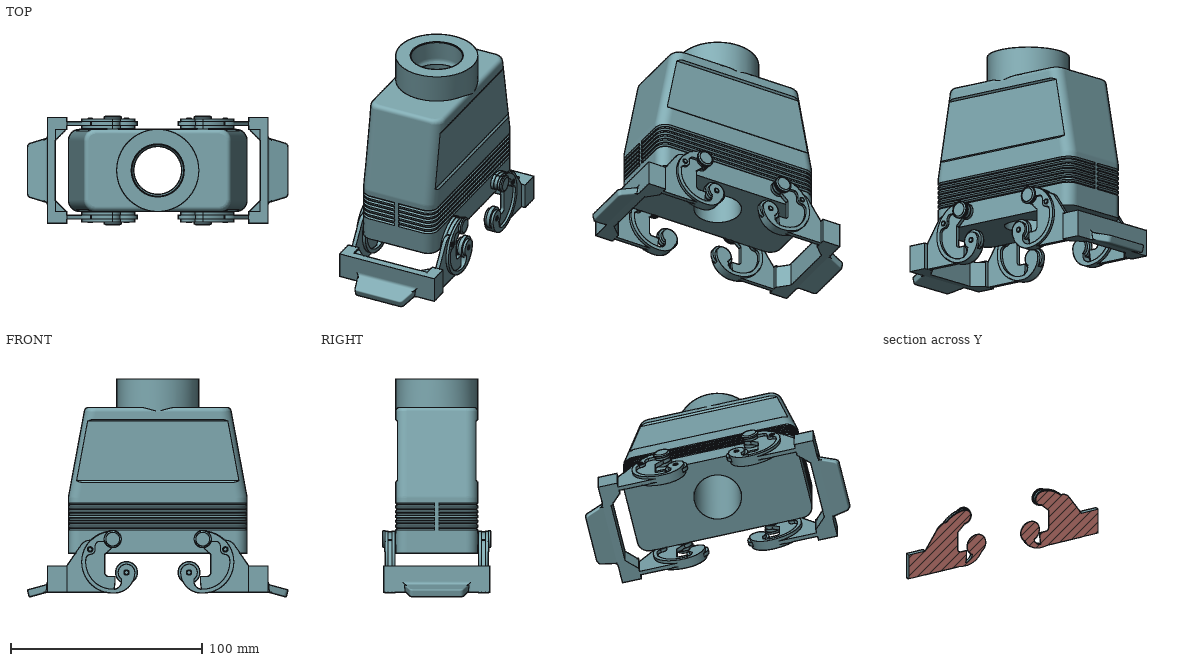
import cadquery as cq
import math


HOOD_LENGTH = 93.6
HOOD_WIDTH = 43.1
HOOD_TOP = 76.4
CORNER_RADIUS = 6.0
TOP_EDGE_RADIUS = 2.5
BASE_TOP = 29.3
TAPER_ANGLE = 10.5
TAPER_BLEND_RADIUS = 5.0

PANEL_DEPTH = 1.0
PANEL_BOTTOM = 37.1
PANEL_TOP = 70.1

GROOVE_COUNT = 6
GROOVE_PITCH = 2.5
GROOVE_WIDTH = 1.6
GROOVE_DEPTH = 0.8
GROOVE_FIRST = 13.0
GROOVE_GAP = 2.45

COLLAR_TOP = 91.25
COLLAR_RADIUS = 21.5
BORE_RADIUS = 13.5
BORE_CHAMFER = 0.4
BORE_DEPTH = 10.2
SEAT_BLEND_DEPTH = 11.7
SEAT_BLEND_RADIUS = 13.2
SEAT_DEPTH = 13.0
PASSAGE_RADIUS = 12.45

HOOK_X = -23.55
HOOK_Z = -4.6
HOOK_RADIUS = 16.25
HOOK_INNER_RADIUS = 14.15
PIVOT_RISE = 12.0
PIVOT_RADIUS = 4.5
PIVOT_END_RADIUS = 4.1
PIVOT_PIN_RADIUS = 3.0
PIVOT_PIN_ROOT = 1.0
PIVOT_FACE_RADIUS = 3.6
PIVOT_CHAMFER_HEIGHT = 0.5
PIVOT_NECK_DROP = 1.15
PIVOT_OUTER_Y = 28.5
ROLLER_DX = 7.2
ROLLER_DZ = -5.45
ROLLER_RADIUS = 5.75
ROLLER_BOSS_RADIUS = 4.35
RIVET_DX = -11.8
RIVET_DZ = 6.65
RIVET_BOSS_RADIUS = 2.6
RIVET_RADIUS = 1.4
RIVET_CHAMFER = 0.4
RIVET_OUTER_Y = 27.3
RIM_GROOVE_DEPTH = 0.3
RIM_GROOVE_REACH = 2.0
RIM_GROOVE_DX = -11.2
CHEEK_INNER_Y = 21.75
CHEEK_OUTER_Y = 27.0
PLATE_INNER_Y = 23.45
PLATE_OUTER_Y = 25.55

THROAT_DX = -4.1
THROAT_TOP_DZ = 4.1
THROAT_RADIUS = 1.8
LIP_DX = 1.3
LIP_TOP_DZ = -7.45
LIP_BOTTOM_DZ = -10.3
LIP_ROOT_DX = 0.8

SHOULDER_CURVE = [(-16.95, 8.4), (-15.0, 10.5), (-11.5, 11.45)]
TAIL_CURVE_MIDDLE = (8.9, -12.5)
CROOK_CURVE = [(4.5, -9.2), (3.9, -12.3)]
RIVET_HOLLOW_CURVE = [(-13.6, 2.9), (-12.3, 3.9)]
NECK_HOLLOW_CURVE = [(-9.2, 7.65), (-8.8, 9.7), (-7.5, PIVOT_RISE - PIVOT_NECK_DROP)]
INNER_EDGE_END = 176

BAR_OUTER_X = -57.75
BAR_INNER_X = -47.6
BAR_WALL = 4.2
BAR_WIDTH = 55.5
BAR_OPENING = 43.0
BAR_TOP = -6.55
BAR_BOTTOM = -20.4
GUSSET_LEG = 5.8
GUSSET_DROP = 0.8

TAB_LENGTH = 9.85
TAB_THICKNESS = 4.0
TAB_OVERLAP = 3.0
TAB_TILT = 15.3
TAB_BASE_WIDTH = 33.4
TAB_TIP_WIDTH = 27.6
TAB_CORNER_RADIUS = 2.0
TAB_EDGE_RADIUS = 0.7
TAB_SPREAD = (TAB_BASE_WIDTH - TAB_TIP_WIDTH) / 2 / TAB_LENGTH
TAB_ROOT_RADIUS = 1.8


def slab_y(sketch, y_min, y_max):
    """Extrude an XZ-plane outline between two Y values."""
    return sketch.extrude(y_max - y_min).translate((0, y_max, 0))


def cylinder_y(x, z, radius, y_min, y_max):
    return slab_y(cq.Workplane("XZ").center(x, z).circle(radius), y_min, y_max)


def hood_shell():
    half_bottom = HOOD_LENGTH / 2
    half_top = half_bottom - (HOOD_TOP - BASE_TOP) * math.tan(math.radians(TAPER_ANGLE))
    outline = cq.Workplane("XZ").polyline([
        (-half_bottom, 0),
        (half_bottom, 0),
        (half_bottom, BASE_TOP),
        (half_top, HOOD_TOP),
        (-half_top, HOOD_TOP),
        (-half_bottom, BASE_TOP),
    ]).close()
    body = slab_y(outline, -HOOD_WIDTH / 2, HOOD_WIDTH / 2)
    bends = cq.selectors.BoxSelector(
        (-HOOD_LENGTH, -HOOD_WIDTH, BASE_TOP - 1), (HOOD_LENGTH, HOOD_WIDTH, BASE_TOP + 1)
    )
    body = body.edges("|Y").edges(bends).fillet(TAPER_BLEND_RADIUS)
    body = body.faces("<Y or >Y").edges("not(<Z or >Z)").fillet(CORNER_RADIUS)
    return body.faces(">Z").edges().fillet(TOP_EDGE_RADIUS)


def groove_cutter(z):
    """V groove around the lower body, interrupted at the middle of the end walls."""
    half = GROOVE_WIDTH / 2
    flank = math.degrees(math.atan2(GROOVE_DEPTH, half))
    section = cq.Sketch().rect(HOOD_LENGTH, HOOD_WIDTH).vertices().fillet(CORNER_RADIUS)
    narrowing = cq.Workplane("XY").placeSketch(section).extrude(half, taper=flank)
    lower = narrowing.translate((0, 0, -half))
    waist = lower.union(lower.mirror("XY"))
    blank = cq.Workplane("XY").box(2 * HOOD_LENGTH, 2 * HOOD_WIDTH, GROOVE_WIDTH)
    plain_strip = cq.Workplane("XY").box(2 * HOOD_LENGTH, GROOVE_GAP, GROOVE_WIDTH)
    return blank.cut(waist).cut(plain_strip).translate((0, 0, z))


def panel_cutter(side):
    """Recess across a long side with 45 degree top and bottom edges; side is -1 or 1."""
    outer = HOOD_WIDTH / 2
    floor = outer - PANEL_DEPTH
    profile = cq.Workplane("YZ").polyline([
        (side * outer, PANEL_BOTTOM),
        (side * floor, PANEL_BOTTOM + PANEL_DEPTH),
        (side * floor, PANEL_TOP - PANEL_DEPTH),
        (side * outer, PANEL_TOP),
    ]).close()
    return profile.extrude(HOOD_LENGTH / 2, both=True)


def bore_cutter():
    mouth = BORE_RADIUS + BORE_CHAMFER
    profile = (
        cq.Workplane("XZ")
        .moveTo(0, COLLAR_TOP)
        .lineTo(mouth, COLLAR_TOP)
        .lineTo(BORE_RADIUS, COLLAR_TOP - BORE_CHAMFER)
        .lineTo(BORE_RADIUS, COLLAR_TOP - BORE_DEPTH)
        .tangentArcPoint((SEAT_BLEND_RADIUS, COLLAR_TOP - SEAT_BLEND_DEPTH), relative=False)
        .lineTo(PASSAGE_RADIUS, COLLAR_TOP - SEAT_DEPTH)
        .lineTo(PASSAGE_RADIUS, 0)
        .lineTo(0, 0)
        .close()
    )
    return profile.revolve(360, (0, 0, 0), (0, 1, 0))


def hood():
    body = hood_shell()
    for index in range(GROOVE_COUNT):
        body = body.cut(groove_cutter(GROOVE_FIRST + index * GROOVE_PITCH))
    for side in (-1, 1):
        body = body.cut(panel_cutter(side))
    collar_bottom = HOOD_TOP - TOP_EDGE_RADIUS
    collar = cq.Workplane("XY", origin=(0, 0, collar_bottom)).circle(COLLAR_RADIUS)
    body = body.union(collar.extrude(COLLAR_TOP - collar_bottom))
    return body.cut(bore_cutter())


def hook_point(dx, dz):
    """Point given relative to the centre of the hook ring."""
    return (HOOK_X + dx, HOOK_Z + dz)


def ring_point(radius, angle):
    """Point on a circle about the hook ring centre; angle in degrees from +X."""
    turn = math.radians(angle)
    return hook_point(radius * math.cos(turn), radius * math.sin(turn))


def lever_plate():
    throat_x = HOOK_X + THROAT_DX
    lip_x = HOOK_X + LIP_DX
    lip_top = HOOK_Z + LIP_TOP_DZ
    shoulder_start, shoulder_middle, shoulder_end = SHOULDER_CURVE
    outline = (
        cq.Workplane("XZ")
        .moveTo(BAR_INNER_X, BAR_BOTTOM)
        .lineTo(BAR_INNER_X, BAR_TOP)
        .lineTo(*hook_point(*shoulder_start))
        .threePointArc(hook_point(*shoulder_middle), hook_point(*shoulder_end))
        .lineTo(*hook_point(0, PIVOT_RISE))
        .lineTo(*hook_point(0, PIVOT_RISE - PIVOT_END_RADIUS))
        .lineTo(throat_x, HOOK_Z + THROAT_TOP_DZ)
        .lineTo(throat_x, lip_top + THROAT_RADIUS)
        .radiusArc((throat_x + THROAT_RADIUS, lip_top), -THROAT_RADIUS)
        .lineTo(lip_x, lip_top)
        .lineTo(lip_x, HOOK_Z + LIP_BOTTOM_DZ)
        .lineTo(*hook_point(LIP_ROOT_DX, -HOOK_INNER_RADIUS))
        .lineTo(HOOK_X, BAR_BOTTOM)
        .close()
    )
    plate = slab_y(outline, PLATE_INNER_Y, PLATE_OUTER_Y)
    roller_x, roller_z = hook_point(ROLLER_DX, ROLLER_DZ)
    return plate.union(cylinder_y(roller_x, roller_z, ROLLER_RADIUS, PLATE_INNER_Y, PLATE_OUTER_Y))


def hook_cheek():
    """Crescent from the pivot head round to the roller, thicker than the plate."""
    roller_x, roller_z = hook_point(ROLLER_DX, ROLLER_DZ)
    rivet_x, rivet_z = hook_point(RIVET_DX, RIVET_DZ)
    crook_start, crook_middle = CROOK_CURVE
    rivet_hollow_middle, rivet_hollow_end = RIVET_HOLLOW_CURVE
    neck_start, neck_middle, neck_end = NECK_HOLLOW_CURVE
    crescent = (
        cq.Workplane("XZ")
        .moveTo(*ring_point(HOOK_RADIUS, 90))
        .threePointArc(ring_point(HOOK_RADIUS, 180), ring_point(HOOK_RADIUS, 270))
        .threePointArc(hook_point(*TAIL_CURVE_MIDDLE), (roller_x + ROLLER_BOSS_RADIUS, roller_z))
        .lineTo(roller_x, roller_z)
        .lineTo(*hook_point(*crook_start))
        .threePointArc(hook_point(*crook_middle), hook_point(LIP_ROOT_DX, -HOOK_INNER_RADIUS))
        .threePointArc(
            ring_point(HOOK_INNER_RADIUS, 225), ring_point(HOOK_INNER_RADIUS, INNER_EDGE_END)
        )
        .threePointArc(hook_point(*rivet_hollow_middle), hook_point(*rivet_hollow_end))
        .lineTo(rivet_x, rivet_z)
        .lineTo(*hook_point(*neck_start))
        .threePointArc(hook_point(*neck_middle), hook_point(*neck_end))
        .lineTo(*hook_point(0, PIVOT_RISE - PIVOT_NECK_DROP))
        .close()
    )
    cheek = slab_y(crescent, CHEEK_INNER_Y, CHEEK_OUTER_Y)
    cheek = cheek.union(
        cylinder_y(roller_x, roller_z, ROLLER_BOSS_RADIUS, CHEEK_INNER_Y, CHEEK_OUTER_Y)
    )
    return cheek.union(
        cylinder_y(rivet_x, rivet_z, RIVET_BOSS_RADIUS, CHEEK_INNER_Y, CHEEK_OUTER_Y)
    )


def pivot():
    """Headed pivot pin, rooted in the hood wall, with the rounded lever end around it."""
    x, z = hook_point(0, PIVOT_RISE)
    pin = cylinder_y(x, z, PIVOT_PIN_RADIUS, HOOD_WIDTH / 2 - PIVOT_PIN_ROOT, CHEEK_OUTER_Y)
    end = cylinder_y(x, z, PIVOT_END_RADIUS, CHEEK_INNER_Y, CHEEK_OUTER_Y)
    head = cylinder_y(x, z, PIVOT_RADIUS, CHEEK_OUTER_Y, PIVOT_OUTER_Y)
    head = head.faces(">Y").chamfer(PIVOT_CHAMFER_HEIGHT, PIVOT_RADIUS - PIVOT_FACE_RADIUS)
    return pin.union(end).union(head)


def plate_level_band(x, z, inner_radius):
    """Ring of material at plate level just outside a given radius."""
    outer_radius = inner_radius + RIM_GROOVE_REACH
    disc = cylinder_y(x, z, outer_radius, PLATE_INNER_Y, PLATE_OUTER_Y)
    return disc.cut(cylinder_y(x, z, inner_radius, PLATE_INNER_Y, PLATE_OUTER_Y))


def plate_level_window(x_min, x_max, z_min, z_max):
    outline = cq.Workplane("XZ").center((x_min + x_max) / 2, (z_min + z_max) / 2)
    return slab_y(outline.rect(x_max - x_min, z_max - z_min), PLATE_INNER_Y, PLATE_OUTER_Y)


def rim_groove_cutter():
    """Shallow groove at plate level along the ring's top edge and round the pivot end."""
    end_x, end_z = hook_point(0, PIVOT_RISE)
    ring_band = plate_level_band(HOOK_X, HOOK_Z, HOOK_RADIUS - RIM_GROOVE_DEPTH)
    end_band = plate_level_band(end_x, end_z, PIVOT_END_RADIUS - RIM_GROOVE_DEPTH)
    top_window = plate_level_window(
        HOOK_X + RIM_GROOVE_DX, HOOK_X, HOOK_Z, HOOK_Z + 2 * HOOK_RADIUS
    )
    end_window = plate_level_window(
        end_x, end_x + HOOK_RADIUS, end_z - HOOK_RADIUS / 2, end_z + HOOK_RADIUS / 2
    )
    return ring_band.intersect(top_window).union(end_band.intersect(end_window))


def rivet(dx, dz):
    x, z = hook_point(dx, dz)
    pin = cylinder_y(x, z, RIVET_RADIUS, PLATE_INNER_Y, RIVET_OUTER_Y)
    return pin.faces(">Y").chamfer(RIVET_OUTER_Y - CHEEK_OUTER_Y, RIVET_CHAMFER)


def lever_side():
    side = lever_plate().union(hook_cheek()).union(pivot()).cut(rim_groove_cutter())
    side = side.union(rivet(RIVET_DX, RIVET_DZ))
    return side.union(rivet(ROLLER_DX, ROLLER_DZ))


def finger_tab():
    """Tapered tab pointing outwards and tilted down from the crossbar."""
    half_tip = TAB_TIP_WIDTH / 2
    half_root = half_tip + TAB_SPREAD * (TAB_LENGTH + TAB_OVERLAP)
    tab = cq.Workplane("XY").polyline([
        (-TAB_LENGTH, -half_tip),
        (TAB_OVERLAP, -half_root),
        (TAB_OVERLAP, half_root),
        (-TAB_LENGTH, half_tip),
    ]).close().extrude(TAB_THICKNESS)
    tab = tab.edges("|Z and <X").fillet(TAB_CORNER_RADIUS)
    tab = tab.faces("<Z or >Z").edges("not >X").fillet(TAB_EDGE_RADIUS)
    tab = tab.rotate((0, 0, 0), (0, 1, 0), -TAB_TILT)
    return tab.translate((BAR_OUTER_X, 0, BAR_BOTTOM))


def tab_root_blend():
    """Concave blend over the top and ends of the tab where it meets the crossbar."""
    radius = TAB_ROOT_RADIUS
    tilt = math.radians(TAB_TILT)
    height = TAB_THICKNESS / math.cos(tilt) - radius * math.tan(tilt) + radius
    half_width = TAB_BASE_WIDTH / 2 - radius * TAB_SPREAD + radius
    edge_x = BAR_OUTER_X - radius
    edge_z = BAR_BOTTOM + height
    block = cq.Workplane("XY", origin=(BAR_OUTER_X - radius / 2, 0, BAR_BOTTOM))
    block = block.rect(radius, 2 * half_width).extrude(height)
    block = block.cut(cylinder_y(edge_x, edge_z, radius, -half_width, half_width))
    for side in (-1, 1):
        end_cut = cq.Workplane("XY", origin=(edge_x, side * half_width, BAR_BOTTOM))
        block = block.cut(end_cut.circle(radius).extrude(height))
    return block


def crossbar():
    height = BAR_TOP - BAR_BOTTOM
    depth = BAR_INNER_X - BAR_OUTER_X
    half_opening = BAR_OPENING / 2
    wall_x = BAR_OUTER_X + BAR_WALL
    base = cq.Workplane("XY", origin=(0, 0, BAR_BOTTOM))
    bar = base.center(BAR_OUTER_X + depth / 2, 0).rect(depth, BAR_WIDTH).extrude(height)
    bar = bar.cut(
        base.center(wall_x + depth / 2, 0).rect(depth, 2 * half_opening).extrude(height)
    )
    for side in (-1, 1):
        corner_y = side * half_opening
        gusset = base.polyline([
            (wall_x, corner_y),
            (wall_x + GUSSET_LEG, corner_y),
            (wall_x, corner_y - side * GUSSET_LEG),
        ]).close().extrude(height - GUSSET_DROP)
        bar = bar.union(gusset)
    return bar


def lever():
    side = lever_side()
    bar = crossbar().union(finger_tab()).union(tab_root_blend())
    return bar.union(side).union(side.mirror("XZ"))


left_lever = lever()
result = hood().union(left_lever).union(left_lever.mirror("YZ"))